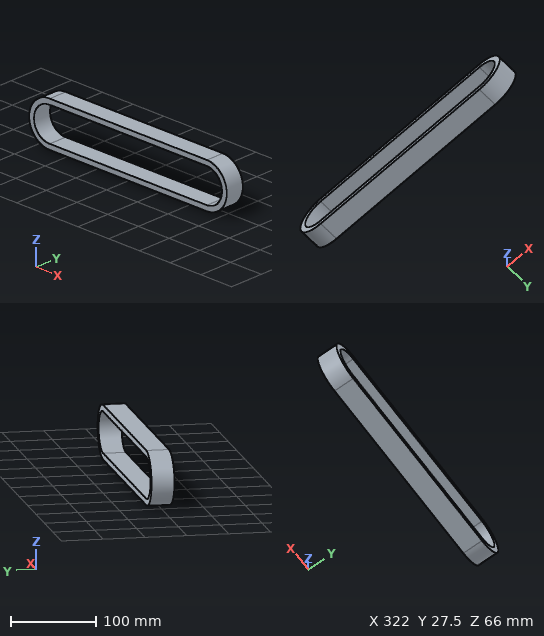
import cadquery as cq

length = 322.0
depth = 27.5
height = 66.0
wall = 8.0


def slot_prism(slot_length, slot_height):
    """Round-ended bar lying along X, centred on the origin, extruded along Y."""
    return (
        cq.Workplane("XZ")
        .slot2D(slot_length, slot_height)
        .extrude(depth / 2, both=True)
    )


outer = slot_prism(length, height)
opening = slot_prism(length - 2 * wall, height - 2 * wall)
result = outer.cut(opening)